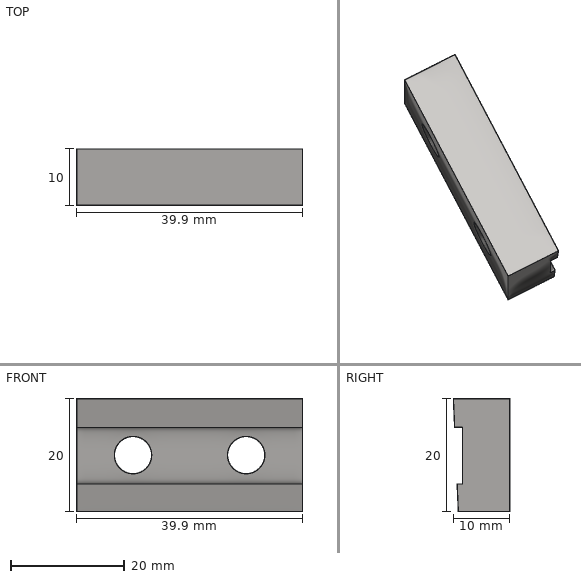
import cadquery as cq

length = 39.88
depth_top = 10.0
depth_bottom = 9.15
height = 19.98

groove_floor_depth = 8.4
groove_bottom = 4.9
groove_width = 9.97
groove_top = groove_bottom + groove_width

hole_diameter = 6.55
hole_spacing = height


def front_y(z):
    """Y position of the tapered front face at height z; the back face is at Y = 0."""
    return -(depth_bottom + (depth_top - depth_bottom) * z / height)


def grooved_block():
    """Constant Y-Z section extruded along X, centred on X = 0."""
    outline = [
        (0, 0),
        (front_y(0), 0),
        (front_y(groove_bottom), groove_bottom),
        (-groove_floor_depth, groove_bottom),
        (-groove_floor_depth, groove_top),
        (front_y(groove_top), groove_top),
        (front_y(height), height),
        (0, height),
    ]
    return cq.Workplane("YZ").polyline(outline).close().extrude(length / 2, both=True)


def through_holes():
    """Two cylinders running from the back face out past the front face."""
    return (
        cq.Workplane("XZ")
        .pushPoints([(side * hole_spacing / 2, height / 2) for side in (-1, 1)])
        .circle(hole_diameter / 2)
        .extrude(depth_top)
    )


result = grooved_block().cut(through_holes())